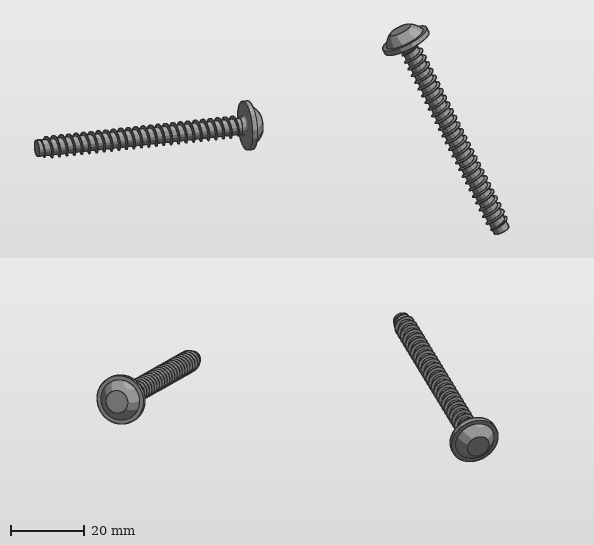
import cadquery as cq
import math

overall_length = 64.2
head_height = 4.2
shank_length = overall_length - head_height

flange_radius = 13.5 / 2
flange_thickness = 1.4
dome_base_radius = 5.6
dome_top_radius = 3.15

under_head_fillet = 0.7
neck_radius = 4.95 / 2
neck_length = 1.5
core_radius = 4.5 / 2
tip_cone_height = 0.1

crest_radius = 6.05 / 2
crest_width = 0.1
head_side_root = 0.45
tip_side_root = 0.3
root_overlap = 0.25
fade_end_depth = 0.05
full_turns = 25
full_thread_length = 53.6
full_thread_start = 3.2
fade_in_turns = 1.0
fade_out_turns = 1.4
pitch = full_thread_length / full_turns
points_per_turn = 16


def make_body():
    """Head, neck and core as one turned solid."""
    dome_centre = (
        dome_top_radius**2 + head_height**2 - dome_base_radius**2 - flange_thickness**2
    ) / (2 * (head_height - flange_thickness))
    dome_radius = math.hypot(dome_top_radius, head_height - dome_centre)
    dome_mid_height = (head_height + flange_thickness) / 2
    dome_mid_radius = math.sqrt(dome_radius**2 - (dome_mid_height - dome_centre) ** 2)

    fillet_centre_radius = neck_radius + under_head_fillet
    fillet_mid_offset = under_head_fillet * math.sqrt(0.5)
    fillet_mid = (fillet_centre_radius - fillet_mid_offset, fillet_mid_offset - under_head_fillet)

    profile = (
        cq.Workplane("XY")
        .moveTo(0, -shank_length)
        .lineTo(core_radius, tip_cone_height - shank_length)
        .lineTo(core_radius, -neck_length)
        .lineTo(neck_radius, -neck_length)
        .lineTo(neck_radius, -under_head_fillet)
        .threePointArc(fillet_mid, (fillet_centre_radius, 0))
        .lineTo(flange_radius, 0)
        .lineTo(flange_radius, flange_thickness)
        .lineTo(dome_base_radius, flange_thickness)
        .threePointArc((dome_mid_radius, dome_mid_height), (dome_top_radius, head_height))
        .lineTo(0, head_height)
        .close()
    )
    return profile.revolve(360, (0, 0, 0), (0, 1, 0))


def crest_fraction(turn):
    """Rib height as a share of full height; turn 0 is where full height begins."""
    if turn < 0:
        return 1 + turn / fade_in_turns
    if turn > full_turns:
        return 1 - (turn - full_turns) / fade_out_turns
    return 1.0


def thread_corner(turn, at_crest, side):
    """One corner of the rib's section; side is +1 toward the head, -1 toward the tip."""
    fraction = crest_fraction(turn)
    half_crest = crest_width / 2
    if at_crest:
        faded_radius = core_radius - fade_end_depth
        radius = faded_radius + (crest_radius - faded_radius) * fraction
        half_width = half_crest
    else:
        radius = core_radius - root_overlap
        root = head_side_root if side > 0 else tip_side_root
        half_width = half_crest + (root - half_crest) * fraction
    angle = 2 * math.pi * turn
    height = -full_thread_start - pitch * turn + side * half_width
    return cq.Vector(-radius * math.sin(angle), height, radius * math.cos(angle))


def thread_edge(start_turn, end_turn, at_crest, side):
    """Helical edge through the same corner of every section from one turn to another."""
    turns = end_turn - start_turn
    steps = round(turns * points_per_turn)
    points = [
        thread_corner(start_turn + turns * step / steps, at_crest, side)
        for step in range(steps + 1)
    ]
    return cq.Edge.makeSpline(points)


def make_thread(start_turn, end_turn):
    """Length of rib bounded by four helical strips and two end caps."""
    edges = [
        thread_edge(start_turn, end_turn, False, 1),
        thread_edge(start_turn, end_turn, True, 1),
        thread_edge(start_turn, end_turn, True, -1),
        thread_edge(start_turn, end_turn, False, -1),
    ]
    strips = [cq.Face.makeRuledSurface(edges[i - 1], edges[i]) for i in range(len(edges))]
    start_points = [edge.startPoint() for edge in edges]
    end_points = [edge.endPoint() for edge in edges]
    caps = [
        cq.Face.makeFromWires(cq.Wire.makePolygon(points, close=True))
        for points in (start_points, end_points)
    ]
    return cq.Solid.makeSolid(cq.Shell.makeShell(strips + caps))


fade_in = make_thread(-fade_in_turns, 0)
full_thread = make_thread(0, full_turns)
fade_out = make_thread(full_turns, full_turns + fade_out_turns)
screw = make_body().val().fuse(fade_in, full_thread, fade_out)
result = cq.Workplane("XY").newObject([screw])